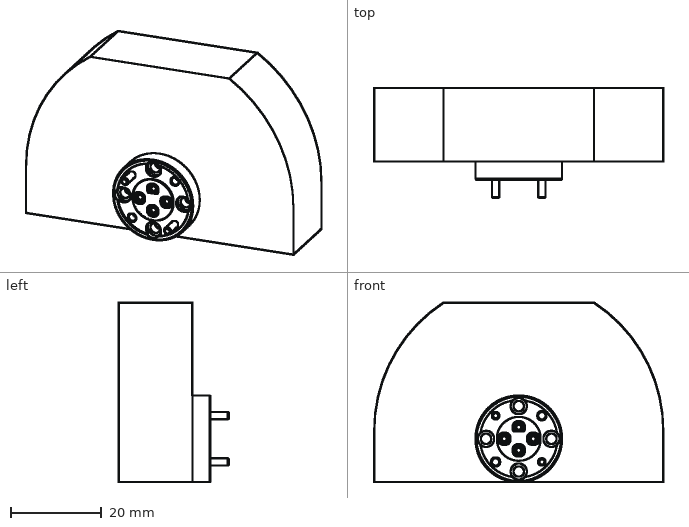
import cadquery as cq
import math

block_width = 63.6
block_height = 39.5
block_depth = 16.2
top_flat_width = 33.05
side_wall_height = 11.3

flange_radius = 9.55
flange_thickness = 4.0
flange_axis_height = flange_radius
rim_chamfer = 0.25
groove_outer_radius = 8.5
groove_inner_radius = 4.85
groove_depth = 0.4

bolt_circle_radius = 7.2
screw_hole_radius = 1.15
counterbore_radius = 1.8
counterbore_depth = 1.45
pin_radius = 0.8
pin_length = 4.0
pin_chamfer = 0.25
dowel_hole_radius = 0.8
dowel_hole_depth = 2.55
dowel_hole_chamfer = 0.2

socket_offset_x = 3.2
socket_offset_z = 2.55
socket_radius = 1.2
socket_depth = 0.3
socket_chamfer = 0.2
bore_radius = 0.6
bore_chamfer = 0.2
bore_depth = 2.55
key_flat_offset = 0.95

flange_face = -flange_thickness
groove_floor = flange_face + groove_depth


def disc(x, z, radius, y_start, y_end):
    """Cylinder along Y, placed relative to the flange axis."""
    return (
        cq.Workplane("XZ", origin=(x, y_start, flange_axis_height + z))
        .circle(radius)
        .extrude(y_start - y_end)
    )


def countersink(x, z, radius, size, y_start):
    """45 degree cone that widens a bore of the given radius at its mouth."""
    return cq.Workplane(
        cq.Solid.makeCone(
            radius + size, radius, size,
            cq.Vector(x, y_start, flange_axis_height + z), cq.Vector(0, 1, 0),
        )
    )


def polar(angle):
    """X and Z of a point on the bolt circle, from the flange axis."""
    turn = math.radians(angle)
    return bolt_circle_radius * math.cos(turn), bolt_circle_radius * math.sin(turn)


def make_block():
    """Extruded outline, drawn as its +X half and mirrored about the plane X = 0."""
    half_block = (
        cq.Workplane("XZ")
        .lineTo(block_width / 2, 0)
        .lineTo(block_width / 2, side_wall_height)
        .tangentArcPoint((top_flat_width / 2, block_height), relative=False)
        .lineTo(0, block_height)
        .close()
        .extrude(-block_depth)
    )
    return half_block.union(half_block.mirror("YZ")).clean()


def cut_groove(body):
    """Shallow ring groove between the outer rim and the central boss."""
    groove = disc(0, 0, groove_outer_radius, flange_face, groove_floor)
    boss = disc(0, 0, groove_inner_radius, flange_face, groove_floor)
    return body.cut(groove.cut(boss))


def cut_screw_holes(body):
    for angle in (0, 90, 180, 270):
        x, z = polar(angle)
        body = body.cut(disc(x, z, counterbore_radius, flange_face, flange_face + counterbore_depth))
        body = body.cut(disc(x, z, screw_hole_radius, flange_face, 0))
    return body


def cut_dowel_holes(body):
    for angle in (45, 225):
        x, z = polar(angle)
        body = body.cut(disc(x, z, dowel_hole_radius, groove_floor, groove_floor + dowel_hole_depth))
        body = body.cut(countersink(x, z, dowel_hole_radius, dowel_hole_chamfer, groove_floor))
    return body


def add_dowel_pins(body):
    for angle in (135, 315):
        x, z = polar(angle)
        pin = disc(x, z, pin_radius, groove_floor, flange_face - pin_length)
        body = body.union(pin.faces("<Y").chamfer(pin_chamfer))
    return body


def socket_recess(x, z):
    recess = disc(x, z, socket_radius, flange_face, flange_face + socket_depth)
    return recess.union(countersink(x, z, socket_radius, socket_chamfer, flange_face))


def keyed_socket_recess(x, z):
    """Socket recess with its lower part left solid, which gives a D shape."""
    key_height = flange_axis_height + z - key_flat_offset
    space_above_key = (
        cq.Workplane("XY", origin=(x, 0, key_height))
        .rect(block_width, block_depth)
        .extrude(block_height)
    )
    return socket_recess(x, z).intersect(space_above_key)


def cut_socket_bore(body, x, z):
    socket_floor = flange_face + socket_depth
    body = body.cut(disc(x, z, bore_radius, socket_floor, socket_floor + bore_depth))
    return body.cut(countersink(x, z, bore_radius, bore_chamfer, socket_floor))


def cut_sockets(body):
    keyed_place = (0, socket_offset_z)
    plain_places = [(0, -socket_offset_z), (socket_offset_x, 0), (-socket_offset_x, 0)]
    body = body.cut(keyed_socket_recess(*keyed_place))
    for place in plain_places:
        body = body.cut(socket_recess(*place))
    for place in [keyed_place, *plain_places]:
        body = cut_socket_bore(body, *place)
    return body


def make_flange():
    body = disc(0, 0, flange_radius, 0, flange_face).faces("<Y").chamfer(rim_chamfer)
    body = cut_groove(body)
    body = cut_screw_holes(body)
    body = cut_dowel_holes(body)
    body = add_dowel_pins(body)
    return cut_sockets(body)


block = make_block()
flange = make_flange()
result = cq.Compound.makeCompound([block.solids().val(), flange.solids().val()])